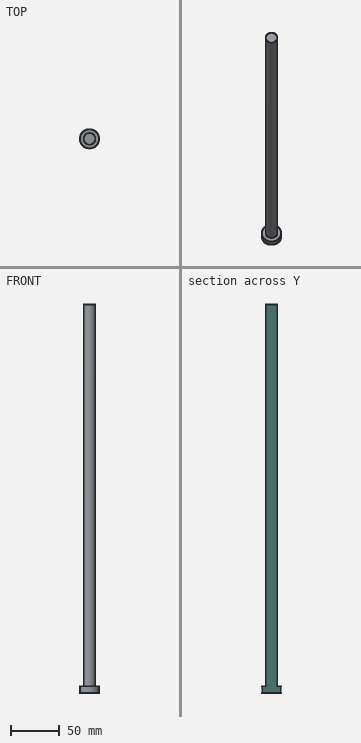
import cadquery as cq

total_length = 400.0
head_diameter = 20.0
head_thickness = 7.0
shank_diameter = 12.0

head = cq.Workplane("XY").circle(head_diameter / 2).extrude(head_thickness)
shank = cq.Workplane("XY").circle(shank_diameter / 2).extrude(total_length)

result = head.union(shank)